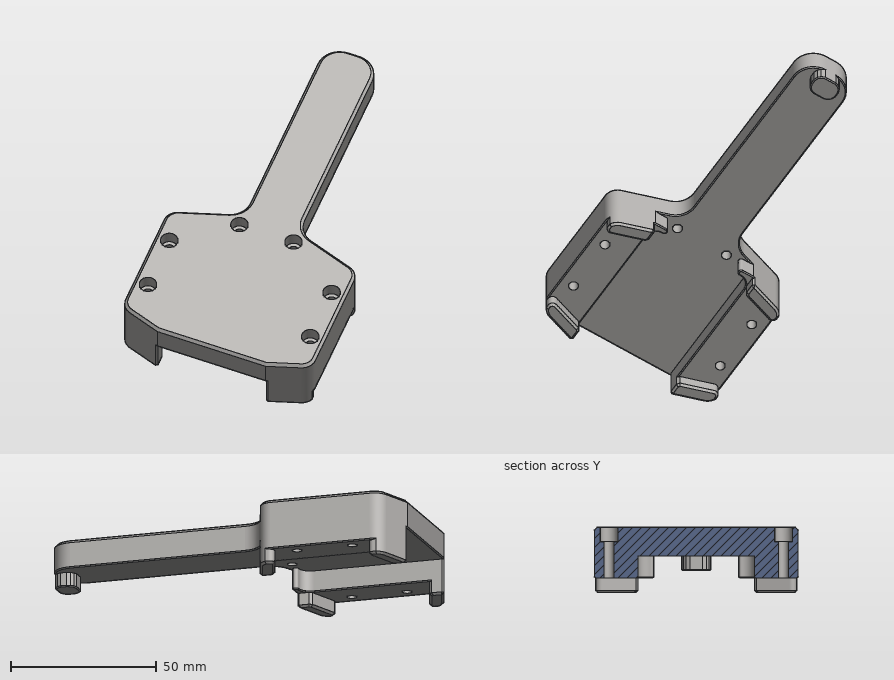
import cadquery as cq
import math

BODY_WIDTH = 70.16
BODY_LENGTH = 53.35
FRONT_FLAT = 40.0
SLANT_SLOPE = 1 / 3
CORNER_RADIUS = 5.08

PLATE_THICKNESS = 10.0
SKIRT_DEPTH = 7.55
LEG_DEPTH = 12.55
TOP_CHAMFER = 1.0
EDGE_BREAK = 0.4
LEG_CHAMFER = 0.8

HANDLE_WIDTH = 20.0
OVERALL_LENGTH = 133.45
HANDLE_END_RADIUS = 8.0
NECK_RADIUS = 7.6
NECK_SEARCH = 1.0

REAR_WALL = 2.2
POCKET_CORNER_RADIUS = 4.0
REAR_OPENING = 29.2

LEG_THICKNESS = 5.0
LEG_OUTER_X = 34.6
LEG_END_RADIUS = 1.8

LUG_WIDTH = 10.0
LUG_LENGTH = 7.7
LUG_DEPTH = 5.0
LUG_CORNER = 2.0
LUG_EDGE_CHAMFER = 0.8

SCREW_DIAMETER = 3.4
HEAD_DIAMETER = 6.0
HEAD_DEPTH = 5.0
SIDE_SCREW_X = 30.0
SIDE_SCREW_Y = 10.0
REAR_SCREW_X = 10.0
REAR_SCREW_Y = 25.0

HALF_WIDTH = BODY_WIDTH / 2
HALF_LENGTH = BODY_LENGTH / 2
HALF_FLAT = FRONT_FLAT / 2
HALF_HANDLE = HANDLE_WIDTH / 2
CORNER_Y = HALF_LENGTH - SLANT_SLOPE * (HALF_WIDTH - HALF_FLAT)
REAR_Y = HALF_LENGTH + SLANT_SLOPE * (HALF_FLAT - HALF_HANDLE)
HANDLE_END_Y = OVERALL_LENGTH - HALF_LENGTH
SKIRT_TOP = PLATE_THICKNESS / 2
SCREW_POINTS = [
    (side * x, y)
    for side in (-1, 1)
    for x, y in (
        (REAR_SCREW_X, REAR_SCREW_Y),
        (SIDE_SCREW_X, SIDE_SCREW_Y),
        (SIDE_SCREW_X, -SIDE_SCREW_Y),
    )
]
THROUGH_HEIGHT = PLATE_THICKNESS + LEG_DEPTH


def body_prism(bottom, top, rear_y=HALF_LENGTH, rear_half_width=HALF_FLAT):
    """Prism of the body outline, with its four side corners rounded."""
    outline = [
        (-HALF_FLAT, -HALF_LENGTH),
        (HALF_FLAT, -HALF_LENGTH),
        (HALF_WIDTH, -CORNER_Y),
        (HALF_WIDTH, CORNER_Y),
        (rear_half_width, rear_y),
        (-rear_half_width, rear_y),
        (-HALF_WIDTH, CORNER_Y),
        (-HALF_WIDTH, -CORNER_Y),
    ]
    prism = cq.Workplane("XY").workplane(offset=bottom).polyline(outline).close().extrude(top - bottom)
    return prism.edges("|Z").edges("<X or >X").fillet(CORNER_RADIUS)


def make_plate():
    """Body and handle in one plate, chamfered all round on top and lightly below."""
    handle = (
        cq.Workplane("XY")
        .center(0, HANDLE_END_Y / 2)
        .rect(HANDLE_WIDTH, HANDLE_END_Y)
        .extrude(PLATE_THICKNESS)
        .edges("|Z and >Y")
        .fillet(HANDLE_END_RADIUS)
    )
    plate = body_prism(0, PLATE_THICKNESS, REAR_Y, HALF_HANDLE).union(handle)
    necks = cq.selectors.BoxSelector(
        (-HALF_HANDLE - NECK_SEARCH, REAR_Y - NECK_SEARCH, 0),
        (HALF_HANDLE + NECK_SEARCH, REAR_Y + NECK_SEARCH, PLATE_THICKNESS),
    )
    plate = plate.edges("|Z").edges(necks).fillet(NECK_RADIUS)
    plate = plate.faces(">Z").edges().chamfer(TOP_CHAMFER)
    return plate.faces("<Z").edges().chamfer(EDGE_BREAK)


def skirt_block(width, front, rear):
    """Block through the height of the skirt, centred on X = 0."""
    return (
        cq.Workplane("XY")
        .workplane(offset=-SKIRT_DEPTH)
        .center(0, (front + rear) / 2)
        .rect(width, rear - front)
        .extrude(SKIRT_DEPTH + SKIRT_TOP)
    )


def make_skirt():
    """Side blocks around a pocket that opens to the front and, narrower, through a thin rear wall."""
    pocket_rear = HALF_LENGTH - REAR_WALL
    tip_radius = REAR_WALL / 2
    tip_x = REAR_OPENING / 2 + tip_radius
    pocket = skirt_block(FRONT_FLAT, -HALF_LENGTH, pocket_rear)
    pocket = pocket.edges("|Z and >Y").fillet(POCKET_CORNER_RADIUS)
    rear_opening = skirt_block(2 * tip_x, 0, HALF_LENGTH)
    wall_tips = (
        cq.Workplane("XY")
        .workplane(offset=-SKIRT_DEPTH)
        .pushPoints([(-tip_x, HALF_LENGTH - tip_radius), (tip_x, HALF_LENGTH - tip_radius)])
        .circle(tip_radius)
        .extrude(SKIRT_DEPTH + SKIRT_TOP)
    )
    skirt = body_prism(-SKIRT_DEPTH, SKIRT_TOP).cut(pocket).cut(rear_opening).union(wall_tips)
    skirt = skirt.edges("|Z and <Y").chamfer(LEG_CHAMFER)
    return skirt.faces("<Z").edges().chamfer(EDGE_BREAK)


def make_legs():
    """Four bars behind the slanted body edges, rounded with the body corners."""
    thickness_along_y = LEG_THICKNESS * math.hypot(1, SLANT_SLOPE)
    outer_y = HALF_LENGTH - SLANT_SLOPE * (LEG_OUTER_X - HALF_FLAT)
    bar = (
        cq.Workplane("XY")
        .workplane(offset=-LEG_DEPTH)
        .polyline([
            (HALF_FLAT, -HALF_LENGTH),
            (LEG_OUTER_X, -outer_y),
            (LEG_OUTER_X, thickness_along_y - outer_y),
            (HALF_FLAT, thickness_along_y - HALF_LENGTH),
        ])
        .close()
        .extrude(LEG_DEPTH + SKIRT_TOP)
    )
    leg = bar.intersect(body_prism(-LEG_DEPTH, SKIRT_TOP))
    leg = leg.edges("|Z and <X").chamfer(LEG_CHAMFER)
    leg = leg.edges("|Z and >X").edges(">Y").fillet(LEG_END_RADIUS)
    leg = leg.faces("<Z").edges().chamfer(LEG_CHAMFER)
    front_pair = leg.union(leg.mirror("YZ"))
    return front_pair.union(front_pair.mirror("XZ"))


def make_lug():
    """Eight-sided foot under the end of the handle."""
    return (
        cq.Workplane("XY")
        .workplane(offset=-LUG_DEPTH)
        .center(0, HANDLE_END_Y - LUG_LENGTH / 2)
        .rect(LUG_WIDTH, LUG_LENGTH)
        .extrude(LUG_DEPTH + EDGE_BREAK)
        .edges("|Z")
        .chamfer(LUG_CORNER)
        .edges("|Z")
        .chamfer(LUG_EDGE_CHAMFER)
        .faces("<Z")
        .edges()
        .chamfer(EDGE_BREAK)
    )


def make_screw_holes():
    """Through holes with flat-bottomed head recesses from the top."""
    holes = (
        cq.Workplane("XY")
        .workplane(offset=-LEG_DEPTH)
        .pushPoints(SCREW_POINTS)
        .circle(SCREW_DIAMETER / 2)
        .extrude(THROUGH_HEIGHT)
    )
    heads = (
        cq.Workplane("XY")
        .workplane(offset=PLATE_THICKNESS - HEAD_DEPTH)
        .pushPoints(SCREW_POINTS)
        .circle(HEAD_DIAMETER / 2)
        .extrude(HEAD_DEPTH)
    )
    return holes.union(heads)


result = make_plate().union(make_skirt()).union(make_legs()).union(make_lug()).cut(make_screw_holes())